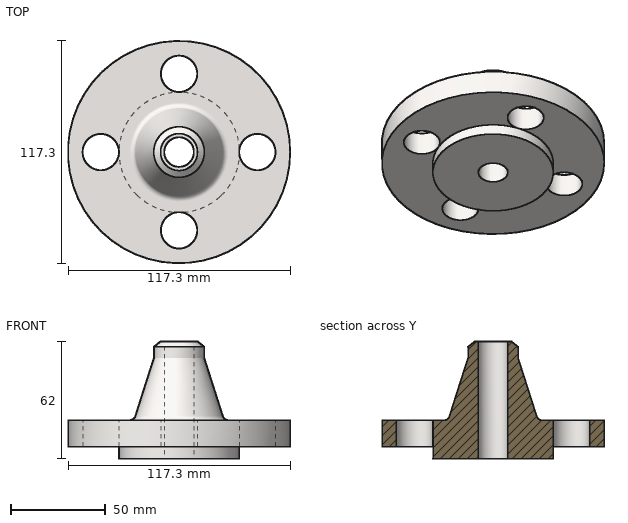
import cadquery as cq

flange_diameter = 117.32
total_height = 61.98

flange_thickness = 14.1
face_diameter = 63.5
face_height = 6.35

bolt_count = 4
bolt_circle_diameter = 82.55
bolt_hole_diameter = 19.05

hub_base_diameter = 47.6
hub_fillet_radius = 3.0
neck_diameter = 26.7
neck_length = 6.0
bore_diameter = 15.5

bevel_land = 2.0
bevel_height = 2.9

flange_bottom = face_height
flange_top = flange_bottom + flange_thickness
bevel_start = total_height - bevel_height
neck_start = bevel_start - neck_length


def make_body():
    """Revolve the outer profile of the face, disc, tapered hub and neck about Z."""
    tip_radius = bore_diameter / 2 + bevel_land
    profile = (
        cq.Workplane("XZ")
        .moveTo(0, 0)
        .lineTo(face_diameter / 2, 0)
        .lineTo(face_diameter / 2, flange_bottom)
        .lineTo(flange_diameter / 2, flange_bottom)
        .lineTo(flange_diameter / 2, flange_top)
        .lineTo(hub_base_diameter / 2, flange_top)
        .lineTo(neck_diameter / 2, neck_start)
        .lineTo(neck_diameter / 2, bevel_start)
        .lineTo(tip_radius, total_height)
        .lineTo(0, total_height)
        .close()
    )
    return profile.revolve(360, (0, 0, 0), (0, 1, 0))


def fillet_hub_root(body):
    """Round the inside corner where the tapered hub meets the disc."""
    reach = hub_base_diameter / 2 + hub_fillet_radius
    margin = 0.1
    root = cq.selectors.BoxSelector(
        (-reach, -reach, flange_top - margin),
        (reach, reach, flange_top + margin),
        boundingbox=True,
    )
    return body.edges(root).fillet(hub_fillet_radius)


def cut_bore(body):
    bore = cq.Workplane("XY").circle(bore_diameter / 2).extrude(total_height)
    return body.cut(bore)


def cut_bolt_holes(body):
    holes = (
        cq.Workplane("XY")
        .polarArray(bolt_circle_diameter / 2, 0, 360, bolt_count)
        .circle(bolt_hole_diameter / 2)
        .extrude(flange_top)
    )
    return body.cut(holes)


result = cut_bolt_holes(cut_bore(fillet_hub_root(make_body())))